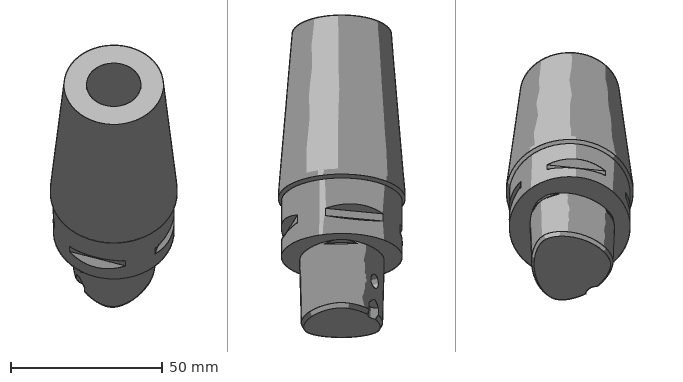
import cadquery as cq
import math

total_height = 104.0
shank_length = 24.0
shoulder_z = shank_length

body_diameter = 40.0
collar_diameter = 42.0
nose_diameter = 33.0
collar_bottom_z = shoulder_z + 20.9
collar_top_z = shoulder_z + 22.8
collar_underside = (collar_diameter - body_diameter) / 2

bore_diameter = 18.0
bore_depth = 46.8

groove_count = 4
first_groove_angle = 45.0
groove_center_z = shoulder_z + 8.0
groove_floor_height = 2.6
groove_floor_distance = 17.5
groove_wall_slope = math.radians(30.0)

shank_width = 28.0
lobe_eccentricity = 0.9
outline_points = 72
straight_length = 2.6
taper_per_length = 1 / 20
chamfer_height = 1.6
chamfer_inset = 0.8
taper_top_z = shank_length - straight_length
tip_width = shank_width - taper_per_length * (taper_top_z - chamfer_height)

relief_radius = 14.0
relief_drop = 0.7

cross_hole_diameter = 4.8
cross_hole_z = 12.5
cross_hole_depth = 5.2
cross_hole_tip_angle = 118.0

keyway_diameter = 6.9
keyway_height = 4.0
keyway_axis_y = -14.1
keyway_tip_angle = 90.0


def turned_body():
    """Body, collar and conical nose as one turned profile."""
    body_radius = body_diameter / 2
    collar_radius = collar_diameter / 2
    return (
        cq.Workplane("XZ")
        .moveTo(0, shoulder_z)
        .lineTo(body_radius, shoulder_z)
        .lineTo(body_radius, collar_bottom_z - collar_underside)
        .lineTo(collar_radius, collar_bottom_z)
        .lineTo(collar_radius, collar_top_z)
        .lineTo(nose_diameter / 2, total_height)
        .lineTo(0, total_height)
        .close()
        .revolve(360, (0, 0, 0), (0, 1, 0))
    )


def lobed_outline(width):
    """Closed trilobe curve that has the given width in every direction."""

    def point(t):
        angle = 2 * math.pi * t
        along = (
            width / 2 * math.cos(angle)
            + 2 * lobe_eccentricity * math.cos(2 * angle)
            - lobe_eccentricity * math.cos(4 * angle)
        )
        across = (
            width / 2 * math.sin(angle)
            - 2 * lobe_eccentricity * math.sin(2 * angle)
            - lobe_eccentricity * math.sin(4 * angle)
        )
        return -across, along

    return point


def lobed_section(bottom_z, top_z, bottom_width, top_width):
    """Straight-sided solid between two trilobe outlines."""
    return (
        cq.Workplane("XY", origin=(0, 0, bottom_z))
        .parametricCurve(lobed_outline(bottom_width), N=outline_points)
        .workplane(offset=top_z - bottom_z)
        .parametricCurve(lobed_outline(top_width), N=outline_points)
        .loft(ruled=True)
    )


def shank():
    """Chamfered tip, tapered length and straight neck."""
    chamfer = lobed_section(0, chamfer_height, tip_width - 2 * chamfer_inset, tip_width)
    taper = lobed_section(chamfer_height, taper_top_z, tip_width, shank_width)
    neck = lobed_section(taper_top_z, shank_length, shank_width, shank_width)
    return chamfer.union(taper).union(neck)


def lobe_relief():
    """Ring with 45 degree sides whose inner edge lies just below the shoulder."""
    outer_radius = shank_width / 2 + 2 * lobe_eccentricity
    inner_edge_z = shoulder_z - relief_drop
    return (
        cq.Workplane("XZ")
        .moveTo(relief_radius, inner_edge_z)
        .lineTo(relief_radius + relief_drop, shoulder_z)
        .lineTo(outer_radius, shoulder_z)
        .lineTo(outer_radius, inner_edge_z - (outer_radius - relief_radius))
        .close()
        .revolve(360, (0, 0, 0), (0, 1, 0))
    )


def wrench_groove(angle):
    """Trapezoidal groove cut straight across the body at the given angle."""
    mouth_distance = collar_diameter / 2
    depth = mouth_distance - groove_floor_distance
    floor_half = groove_floor_height / 2
    mouth_half = floor_half + depth * math.tan(groove_wall_slope)
    return (
        cq.Workplane("XZ")
        .moveTo(groove_floor_distance, groove_center_z - floor_half)
        .lineTo(mouth_distance, groove_center_z - mouth_half)
        .lineTo(mouth_distance, groove_center_z + mouth_half)
        .lineTo(groove_floor_distance, groove_center_z + floor_half)
        .close()
        .extrude(body_diameter / 2, both=True)
        .rotate((0, 0, 0), (0, 0, 1), angle)
    )


def drilled_hole(diameter, depth, tip_angle):
    """Hole along +Z from the origin, with a pointed drill tip."""
    radius = diameter / 2
    tip_height = radius / math.tan(math.radians(tip_angle / 2))
    return (
        cq.Workplane("XZ")
        .lineTo(radius, 0)
        .lineTo(radius, depth)
        .lineTo(0, depth + tip_height)
        .close()
        .revolve(360, (0, 0, 0), (0, 1, 0))
    )


def cross_hole():
    """Hole drilled toward +Y, started clear of the shank's flat side."""
    start_y = -shank_width / 2
    clearance = lobe_eccentricity
    hole = drilled_hole(cross_hole_diameter, cross_hole_depth + clearance, cross_hole_tip_angle)
    return hole.rotate((0, 0, 0), (1, 0, 0), -90).translate((0, start_y, cross_hole_z))


def keyway():
    """Upright drilled notch in the bottom edge of the shank."""
    hole = drilled_hole(keyway_diameter, keyway_height, keyway_tip_angle)
    return hole.translate((0, keyway_axis_y, 0))


def bore():
    """Flat-bottomed bore from the top of the nose."""
    return (
        cq.Workplane("XY", origin=(0, 0, total_height - bore_depth))
        .circle(bore_diameter / 2)
        .extrude(bore_depth)
    )


result = turned_body().union(shank().cut(lobe_relief()).cut(cross_hole()).cut(keyway()))
for index in range(groove_count):
    result = result.cut(wrench_groove(first_groove_angle + index * 360 / groove_count))
result = result.cut(bore())